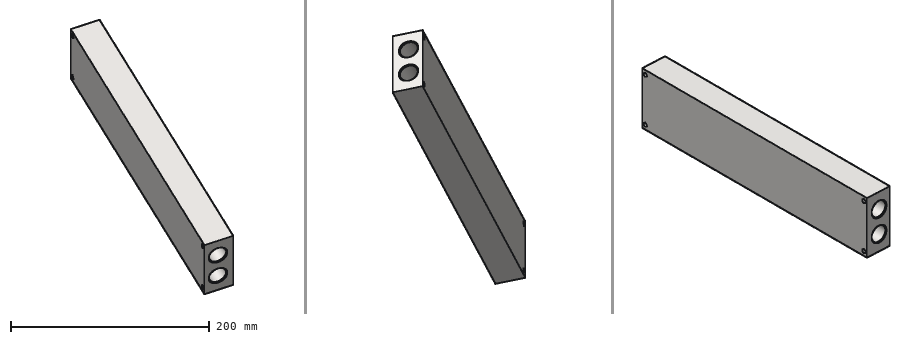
import cadquery as cq

length = 329.0
depth = 32.0
height = 72.0

bore_diameter = 18.8
bore_spacing = 30.0
bore_offset_y = -1.0
bore_chamfer = 1.0

mount_diameter = 4.5
mount_end_inset = 4.5
mount_edge_inset = 6.0


def make_bore(center_z):
    """Return the cutter for a full-length bore with a chamfer at each mouth."""
    bore_radius = bore_diameter / 2
    mouth_radius = bore_radius + bore_chamfer
    profile = [
        (-length / 2, 0),
        (-length / 2, mouth_radius),
        (-length / 2 + bore_chamfer, bore_radius),
        (length / 2 - bore_chamfer, bore_radius),
        (length / 2, mouth_radius),
        (length / 2, 0),
    ]
    cutter = cq.Workplane("XY").polyline(profile).close().revolve(360, (0, 0), (1, 0))
    return cutter.translate((0, bore_offset_y, center_z))


def make_mount_holes():
    """Return the four corner hole cutters."""
    return (
        cq.Workplane("XZ")
        .rect(length - 2 * mount_end_inset, height - 2 * mount_edge_inset, forConstruction=True)
        .vertices()
        .circle(mount_diameter / 2)
        .extrude(depth / 2, both=True)
    )


result = cq.Workplane("XY").box(length, depth, height)
for side in (-1, 1):
    result = result.cut(make_bore(side * bore_spacing / 2))
result = result.cut(make_mount_holes())